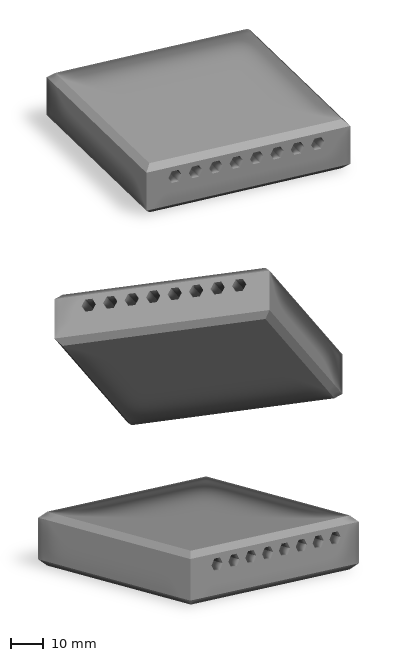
import cadquery as cq

side = 69.35
height = 17.0
bevel = 1.95

hole_count = 8
hole_pitch = 6.95
hole_width = 4.6
row_offset = -0.6
row_depth = 5.5


def make_block():
    """Square block with every top and bottom edge bevelled."""
    block = cq.Workplane("XY").box(side, side, height, centered=(True, True, False))
    return block.faces("<Z or >Z").edges().chamfer(bevel)


def make_holes():
    """Hexagonal prisms in one row, long enough to pass right through the block."""
    first_y = row_offset - hole_pitch * (hole_count - 1) / 2
    axis_z = height - row_depth
    centres = [(first_y + i * hole_pitch, axis_z) for i in range(hole_count)]
    plane = cq.Workplane("YZ").workplane(offset=-side / 2)
    return plane.pushPoints(centres).polygon(6, hole_width).extrude(side)


result = make_block().cut(make_holes())